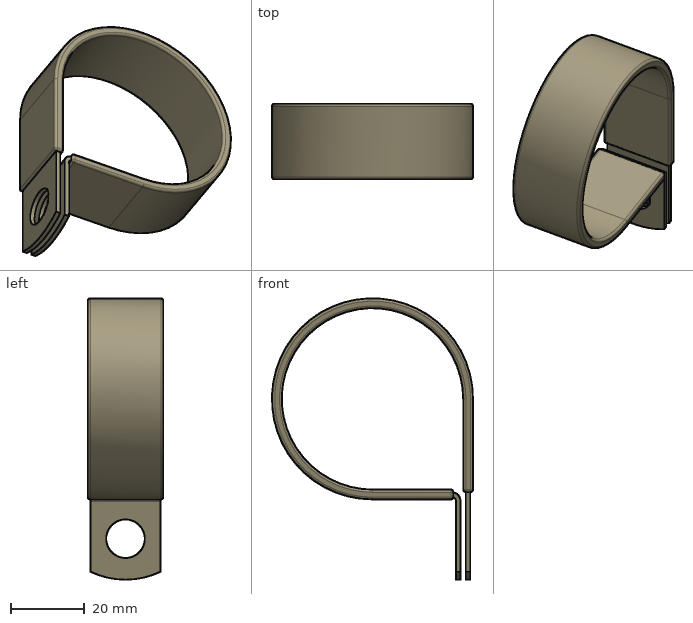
import cadquery as cq
import math

outer_diameter = 54.8
outer_radius = outer_diameter / 2
cushion_thickness = 2.75
cushion_width = 20.6
edge_round = 0.73
mid_radius = outer_radius - cushion_thickness / 2
side_cushion_end_z = -25.35
bottom_cushion_end_x = 22.0

strip_thickness = 1.3
strip_width = cushion_width - 2 * edge_round
leg_gap = 1.4
bend_outer_radius = 2.45
bend_mid_radius = bend_outer_radius - strip_thickness / 2
overall_height = 76.6
tip_z = outer_radius - overall_height
tip_rise = 2.2
bent_leg_x = mid_radius - strip_thickness - leg_gap

hole_diameter = 10.4
hole_above_tip = 11.2
hole_z = tip_z + hole_above_tip


def band_path(side_end_z):
    """Centre line from the side end, up and around three quarters of a circle."""
    diagonal = mid_radius * math.sqrt(0.5)
    return (
        cq.Workplane("XZ")
        .moveTo(mid_radius, side_end_z)
        .lineTo(mid_radius, 0)
        .threePointArc((-diagonal, diagonal), (0, -mid_radius))
    )


def thicken(path, thickness, width, start_z):
    """Sweep a flat rectangular section along a centre line."""
    section = cq.Workplane("XY", origin=(mid_radius, 0, start_z)).rect(thickness, width)
    return section.sweep(path)


def make_cushion():
    path = band_path(side_cushion_end_z).lineTo(bottom_cushion_end_x, -mid_radius)
    band = thicken(path, cushion_thickness, cushion_width, side_cushion_end_z)
    side_end = cq.selectors.NearestToPointSelector((mid_radius, 0, side_cushion_end_z))
    bottom_end = cq.selectors.NearestToPointSelector((bottom_cushion_end_x, 0, -mid_radius))
    ends = band.faces(side_end).edges().add(band.faces(bottom_end).edges())
    return ends.add(band.faces("<Y or >Y").edges("not #Y")).fillet(edge_round)


def make_strip():
    bend_start_x = bent_leg_x - bend_mid_radius
    bend_end_z = -mid_radius - bend_mid_radius
    bend_middle = (
        bend_start_x + bend_mid_radius * math.sqrt(0.5),
        bend_end_z + bend_mid_radius * math.sqrt(0.5),
    )
    path = (
        band_path(tip_z)
        .lineTo(bend_start_x, -mid_radius)
        .threePointArc(bend_middle, (bent_leg_x, bend_end_z))
        .lineTo(bent_leg_x, tip_z)
    )
    return thicken(path, strip_thickness, strip_width, tip_z)


def make_tip_cutter():
    """Material below the curved leg tips, across both legs."""
    half_width = strip_width / 2
    corner_z = tip_z + tip_rise
    return (
        cq.Workplane("YZ")
        .moveTo(-half_width, corner_z)
        .threePointArc((0, tip_z), (half_width, corner_z))
        .lineTo(half_width, tip_z)
        .lineTo(-half_width, tip_z)
        .close()
        .extrude(outer_radius)
    )


def make_bolt_hole():
    return cq.Workplane("YZ").center(0, hole_z).circle(hole_diameter / 2).extrude(outer_radius)


result = make_cushion().union(make_strip()).cut(make_tip_cutter()).cut(make_bolt_hole())